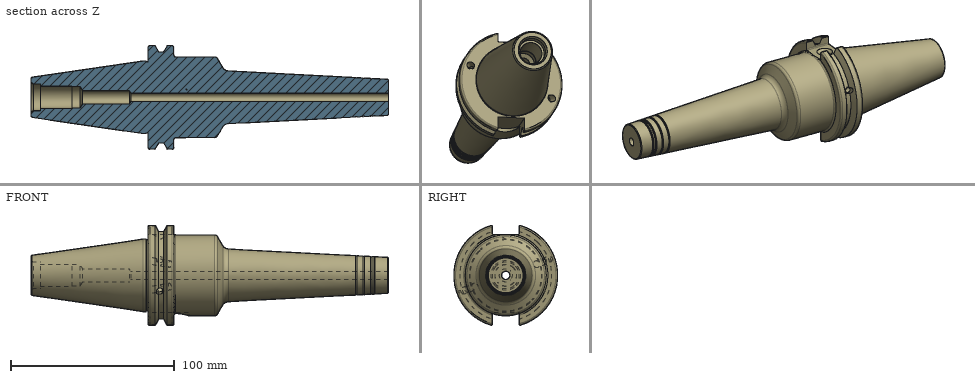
import cadquery as cq
import math


GAUGE_RADIUS = 44.45 / 2
TAPER_LENGTH = 68.25
TAPER_RATIO = 7 / 24
SMALL_END_RADIUS = GAUGE_RADIUS - TAPER_LENGTH * TAPER_RATIO / 2
SMALL_END_CHAMFER = 0.7
GAUGE_BAND_END_X = 1.85
NECK_RADIUS = 43.6 / 2

FLANGE_RADIUS = 63.5 / 2
FLANGE_START_X = 3.18
FLANGE_END_X = 19.05
FLANGE_EDGE_FILLET = 1.1
GROOVE_CENTER_X = 11.25
GROOVE_FLOOR_RADIUS = 28.0
GROOVE_FLOOR_WIDTH = 3.0
GROOVE_FLANK_ANGLE = 30.0

SLOT_WIDTH = 16.3
UPPER_SLOT_FLOOR_FILLET = 0.5
SLOT_EDGE_CHAMFER = 0.52
UPPER_SLOT_FLOOR_Z = 25.0
LOWER_SLOT_FLOOR_DEPTH = 22.6
LOWER_SLOT_END_CENTER_X = 20.1
DIMPLE_CENTER_X = 11.1
DIMPLE_DIAMETER = 9.53
DRILL_POINT_ANGLE = 118.0

FACE_HOLE_DIAMETER = 4.2
FACE_HOLE_CIRCLE_RADIUS = 26.8
FACE_HOLE_ANGLE = 20.0
FACE_HOLE_TILT = 27.0
FACE_HOLE_LENGTH = 15.0
GROOVE_HOLE_DIAMETER = 4.0
GROOVE_HOLE_CENTER_X = 10.4

BODY_RADIUS = 49.5 / 2
BODY_ROOT_FILLET = 1.0
SHOULDER_START_X = 43.8
SHOULDER_ANGLE = 60.0
SHOULDER_ROUND = 2.2
SHOULDER_FILLET = 4.0
NOSE_START_RADIUS = 16.2
NOSE_ANGLE = 3.0
END_X = 150.0
END_CHAMFER = 0.5

RING_GROOVE_CENTERS_X = (130.2, 134.8, 139.4, 141.4)
RING_GROOVE_WIDTH = 0.8
RING_GROOVE_DEPTH = 0.3

COUNTERBORE_RADIUS = 16.3 / 2
COUNTERBORE_DEPTH = 5.7
COUNTERBORE_CHAMFER = 0.85
COUNTERBORE_CHAMFER_DEPTH = 1.5
THREAD_RADIUS = 13.39 / 2
THREAD_DEPTH = 25.0
DRAWBAR_BORE_RADIUS = 13.0 / 2
DRAWBAR_BORE_DEPTH = 30.0
INNER_BORE_RADIUS = 8.0 / 2
INNER_BORE_DEPTH = 60.0
THROUGH_HOLE_RADIUS = 4.92 / 2


def cone_depth(radius_change):
    """Axial length of a drill-point cone over a change of radius."""
    return radius_change / math.tan(math.radians(DRILL_POINT_ANGLE / 2))


def outer_body():
    """Revolve the outside of the holder."""
    shoulder = math.radians(SHOULDER_ANGLE)
    half_shoulder = shoulder / 2
    round_run = SHOULDER_ROUND * math.sin(shoulder)
    round_drop = SHOULDER_ROUND * (1 - math.cos(shoulder))
    round_end = (SHOULDER_START_X + round_run, BODY_RADIUS - round_drop)
    round_mid = (
        SHOULDER_START_X + SHOULDER_ROUND * math.sin(half_shoulder),
        BODY_RADIUS - SHOULDER_ROUND * (1 - math.cos(half_shoulder)),
    )
    fillet_start_r = NOSE_START_RADIUS + SHOULDER_FILLET * (1 - math.cos(shoulder))
    fillet_start_x = round_end[0] + (round_end[1] - fillet_start_r) / math.tan(shoulder)
    nose_start_x = fillet_start_x + SHOULDER_FILLET * math.sin(shoulder)
    fillet_mid = (
        nose_start_x - SHOULDER_FILLET * math.sin(half_shoulder),
        NOSE_START_RADIUS + SHOULDER_FILLET * (1 - math.cos(half_shoulder)),
    )
    nose_slope = math.tan(math.radians(NOSE_ANGLE))

    def nose_radius(x):
        return NOSE_START_RADIUS - (x - nose_start_x) * nose_slope

    band_end_drop = GAUGE_RADIUS - NECK_RADIUS
    edge_sag = FLANGE_EDGE_FILLET * (1 - math.sqrt(0.5))
    root_sag = BODY_ROOT_FILLET * (1 - math.sqrt(0.5))
    groove_half_floor = GROOVE_FLOOR_WIDTH / 2
    groove_run = (FLANGE_RADIUS - GROOVE_FLOOR_RADIUS) * math.tan(math.radians(GROOVE_FLANK_ANGLE))
    groove_half_mouth = groove_half_floor + groove_run

    profile = (
        cq.Workplane("XY")
        .moveTo(-TAPER_LENGTH, 0)
        .lineTo(-TAPER_LENGTH, SMALL_END_RADIUS - SMALL_END_CHAMFER)
        .lineTo(-TAPER_LENGTH + SMALL_END_CHAMFER, SMALL_END_RADIUS + SMALL_END_CHAMFER * TAPER_RATIO / 2)
        .lineTo(0, GAUGE_RADIUS)
        .lineTo(GAUGE_BAND_END_X, GAUGE_RADIUS)
        .lineTo(GAUGE_BAND_END_X + band_end_drop, NECK_RADIUS)
        .lineTo(FLANGE_START_X, NECK_RADIUS)
        .lineTo(FLANGE_START_X, FLANGE_RADIUS - FLANGE_EDGE_FILLET)
        .threePointArc(
            (FLANGE_START_X + edge_sag, FLANGE_RADIUS - edge_sag),
            (FLANGE_START_X + FLANGE_EDGE_FILLET, FLANGE_RADIUS),
        )
        .lineTo(GROOVE_CENTER_X - groove_half_mouth, FLANGE_RADIUS)
        .lineTo(GROOVE_CENTER_X - groove_half_floor, GROOVE_FLOOR_RADIUS)
        .lineTo(GROOVE_CENTER_X + groove_half_floor, GROOVE_FLOOR_RADIUS)
        .lineTo(GROOVE_CENTER_X + groove_half_mouth, FLANGE_RADIUS)
        .lineTo(FLANGE_END_X - FLANGE_EDGE_FILLET, FLANGE_RADIUS)
        .threePointArc(
            (FLANGE_END_X - edge_sag, FLANGE_RADIUS - edge_sag),
            (FLANGE_END_X, FLANGE_RADIUS - FLANGE_EDGE_FILLET),
        )
        .lineTo(FLANGE_END_X, BODY_RADIUS + BODY_ROOT_FILLET)
        .threePointArc(
            (FLANGE_END_X + root_sag, BODY_RADIUS + root_sag),
            (FLANGE_END_X + BODY_ROOT_FILLET, BODY_RADIUS),
        )
        .lineTo(SHOULDER_START_X, BODY_RADIUS)
        .threePointArc(round_mid, round_end)
        .lineTo(fillet_start_x, fillet_start_r)
        .threePointArc(fillet_mid, (nose_start_x, NOSE_START_RADIUS))
    )
    for center_x in RING_GROOVE_CENTERS_X:
        start_x = center_x - RING_GROOVE_WIDTH / 2
        end_x = center_x + RING_GROOVE_WIDTH / 2
        floor_radius = nose_radius(center_x) - RING_GROOVE_DEPTH
        profile = profile.lineTo(start_x, nose_radius(start_x)).lineTo(start_x, floor_radius)
        profile = profile.lineTo(end_x, floor_radius).lineTo(end_x, nose_radius(end_x))
    chamfer_start_x = END_X - END_CHAMFER
    chamfer_start_radius = nose_radius(chamfer_start_x)
    profile = (
        profile.lineTo(chamfer_start_x, chamfer_start_radius)
        .lineTo(END_X, chamfer_start_radius - END_CHAMFER)
        .lineTo(END_X, 0)
        .close()
    )
    return profile.revolve(360, (0, 0, 0), (1, 0, 0))


def bore():
    """Stepped bore along the axis, opening at the small end."""
    counterbore_end_x = COUNTERBORE_DEPTH - TAPER_LENGTH
    thread_end_x = THREAD_DEPTH - TAPER_LENGTH
    drawbar_bore_end_x = DRAWBAR_BORE_DEPTH - TAPER_LENGTH
    drawbar_cone_end_x = drawbar_bore_end_x + cone_depth(DRAWBAR_BORE_RADIUS - INNER_BORE_RADIUS)
    inner_bore_end_x = INNER_BORE_DEPTH - TAPER_LENGTH
    inner_cone_end_x = inner_bore_end_x + cone_depth(INNER_BORE_RADIUS - THROUGH_HOLE_RADIUS)
    return (
        cq.Workplane("XY")
        .moveTo(-TAPER_LENGTH, 0)
        .lineTo(-TAPER_LENGTH, COUNTERBORE_RADIUS + COUNTERBORE_CHAMFER)
        .lineTo(COUNTERBORE_CHAMFER_DEPTH - TAPER_LENGTH, COUNTERBORE_RADIUS)
        .lineTo(counterbore_end_x, COUNTERBORE_RADIUS)
        .lineTo(counterbore_end_x, THREAD_RADIUS)
        .lineTo(thread_end_x, THREAD_RADIUS)
        .lineTo(thread_end_x, DRAWBAR_BORE_RADIUS)
        .lineTo(drawbar_bore_end_x, DRAWBAR_BORE_RADIUS)
        .lineTo(drawbar_cone_end_x, INNER_BORE_RADIUS)
        .lineTo(inner_bore_end_x, INNER_BORE_RADIUS)
        .lineTo(inner_cone_end_x, THROUGH_HOLE_RADIUS)
        .lineTo(END_X, THROUGH_HOLE_RADIUS)
        .lineTo(END_X, 0)
        .close()
        .revolve(360, (0, 0, 0), (1, 0, 0))
    )


def slot_half_section(plane, floor_height):
    """Half of a slot's cross-section: floor, wall and chamfered rim edge."""
    half_width = SLOT_WIDTH / 2
    rim_half_width = half_width + SLOT_EDGE_CHAMFER
    rim_height = math.sqrt(FLANGE_RADIUS**2 - rim_half_width**2)
    overrun = FLANGE_RADIUS - rim_height
    return (
        plane.moveTo(0, floor_height)
        .lineTo(half_width, floor_height)
        .lineTo(half_width, rim_height - SLOT_EDGE_CHAMFER)
        .lineTo(rim_half_width + overrun, FLANGE_RADIUS)
        .lineTo(0, FLANGE_RADIUS)
        .close()
    )


def straight_slot(floor_height, end_x):
    """Slot across the upper side of the flange, from its front face to end_x."""
    plane = cq.Workplane("YZ", origin=(FLANGE_START_X, 0, 0))
    half = slot_half_section(plane, floor_height).extrude(end_x - FLANGE_START_X)
    return half.union(half.mirror("XZ")).clean()


def upper_slot():
    """Slot through the flange and its rear fillet, with a conical dimple in the floor."""
    slot = straight_slot(UPPER_SLOT_FLOOR_Z, FLANGE_END_X + BODY_ROOT_FILLET)
    slot = slot.faces("<Z").edges("|X").fillet(UPPER_SLOT_FLOOR_FILLET)
    radius = DIMPLE_DIAMETER / 2
    mouth = cq.Vector(DIMPLE_CENTER_X, 0, UPPER_SLOT_FLOOR_Z)
    dimple = cq.Solid.makeCone(radius, 0, cone_depth(radius), mouth, cq.Vector(0, 0, -1))
    return slot.union(cq.Workplane(dimple))


def lower_slot():
    """Deeper slot that runs out into the body with a round end."""
    slot = straight_slot(LOWER_SLOT_FLOOR_DEPTH, LOWER_SLOT_END_CENTER_X)
    plane = cq.Workplane("XZ", origin=(LOWER_SLOT_END_CENTER_X, 0, 0))
    round_end = slot_half_section(plane, LOWER_SLOT_FLOOR_DEPTH).revolve(360, (0, 0, 0), (0, 1, 0))
    return slot.union(round_end).mirror("XY")


def face_holes():
    """Two opposite holes leaning in from the flange face, each met by a radial hole from the groove."""
    radius = FACE_HOLE_DIAMETER / 2
    tilt = math.radians(FACE_HOLE_TILT)
    direction = cq.Vector(math.cos(tilt), -math.sin(tilt), 0)
    lead = FACE_HOLE_DIAMETER
    entry = cq.Vector(FLANGE_START_X, FACE_HOLE_CIRCLE_RADIUS, 0)
    drill = cq.Solid.makeCylinder(radius, lead + FACE_HOLE_LENGTH, entry - direction * lead, direction)
    ahead_of_flange = cq.Workplane("XY").box(2 * lead, 2 * FLANGE_RADIUS, 2 * FLANGE_RADIUS)
    leaning_hole = cq.Workplane(drill).cut(ahead_of_flange.translate((FLANGE_START_X - lead, 0, 0)))

    meeting_radius = FACE_HOLE_CIRCLE_RADIUS - (GROOVE_HOLE_CENTER_X - FLANGE_START_X) * math.tan(tilt)
    radial_hole = cq.Solid.makeCylinder(
        GROOVE_HOLE_DIAMETER / 2,
        FLANGE_RADIUS - meeting_radius,
        cq.Vector(GROOVE_HOLE_CENTER_X, meeting_radius, 0),
        cq.Vector(0, 1, 0),
    )
    pair = leaning_hole.union(cq.Workplane(radial_hole)).rotate((0, 0, 0), (1, 0, 0), FACE_HOLE_ANGLE)
    return pair.union(pair.rotate((0, 0, 0), (1, 0, 0), 180))


result = outer_body().cut(bore()).cut(upper_slot()).cut(lower_slot()).cut(face_holes())